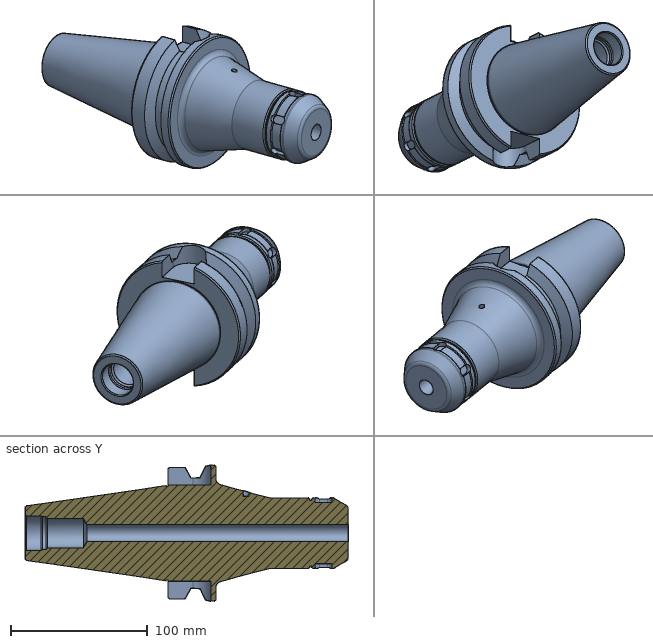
import cadquery as cq
import math

overall_length = 236.8

gauge_x = 101.8
gauge_dia = 69.9
taper_ratio = 7 / 24
taper_end_dia = gauge_dia - gauge_x * taper_ratio
taper_chamfer = 1.0
gauge_land_length = 1.5
neck_dia = 69.0

flange_dia = 100.0
flange_start_x = 104.7
flange_end_x = 140.0
flange_chamfer_length = 1.2
flange_chamfer_depth = 1.0
groove_bottom_dia = 85.0
groove_start_x = 117.2
groove_floor_start_x = 121.5
groove_floor_end_x = 128.0
groove_end_x = 132.1

key_slot_width = 25.8
key_slot_floor_z = 35.3
key_slot_end_x = 136.0

body_dia = 52.0
cone_end_x = 179.3
cone_angle = 15.0
cone_fillet = 4.5
body_end_x = 208.6
edge_chamfer = 1.0

nut_gap_dia = 48.3
nut_start_x = 209.8
nut_band_start_x = 214.5
nut_band_end_x = 223.5
nut_band_dia = 50.7
nut_cone_start_x = 226.0
nut_shoulder_fillet = 1.2
nut_cone_angle = 30.0
nut_nose_fillet = 3.3

spanner_slot_count = 6
spanner_slot_start_x = 212.6
spanner_slot_end_x = 224.7
spanner_slot_width = 6.2
spanner_slot_floor_radius = 22.5

bore_mouth_dia = 26.3
bore_mouth_length = 1.2
pilot_dia = 25.0
pilot_depth = 11.5
pilot_step_length = 1.2
thread_mouth_dia = 24.0
thread_mouth_length = 2.4
thread_dia = 21.3
thread_depth = 42.6
drill_tip_angle = 118.0
through_dia = 12.0

pin_hole_dia = 4.0
pin_hole_x = 162.0
pin_hole_depth = 3.5


def revolve_profile(points):
    """Revolve an (x, radius) outline around the X axis."""
    return cq.Workplane("XY").polyline(points).close().revolve(360, (0, 0, 0), (1, 0, 0))


def make_shank_and_flange():
    end_r = taper_end_dia / 2
    flange_r = flange_dia / 2
    groove_r = groove_bottom_dia / 2
    neck_step = (gauge_dia - neck_dia) / 2
    return revolve_profile([
        (0, 0),
        (0, end_r - taper_chamfer),
        (taper_chamfer, end_r + taper_chamfer * taper_ratio / 2),
        (gauge_x, gauge_dia / 2),
        (gauge_x + gauge_land_length, gauge_dia / 2),
        (gauge_x + gauge_land_length + neck_step, neck_dia / 2),
        (flange_start_x, neck_dia / 2),
        (flange_start_x, flange_r - flange_chamfer_depth),
        (flange_start_x + flange_chamfer_length, flange_r),
        (groove_start_x, flange_r),
        (groove_floor_start_x, groove_r),
        (groove_floor_end_x, groove_r),
        (groove_end_x, flange_r),
        (flange_end_x - flange_chamfer_length, flange_r),
        (flange_end_x, flange_r - flange_chamfer_depth),
        (flange_end_x, 0),
    ])


def make_nose_cone_and_body():
    """Cone with a concave fillet against the flange, then the straight body."""
    angle = math.radians(cone_angle)
    body_r = body_dia / 2
    fillet_centre_x = flange_end_x + cone_fillet
    tangent_x = fillet_centre_x - cone_fillet * math.sin(angle)
    tangent_r = body_r + (cone_end_x - tangent_x) * math.tan(angle)
    fillet_centre_r = tangent_r + cone_fillet * math.cos(angle)
    mid_angle = math.radians((180 + 270 - cone_angle) / 2)
    fillet_middle = (
        fillet_centre_x + cone_fillet * math.cos(mid_angle),
        fillet_centre_r + cone_fillet * math.sin(mid_angle),
    )
    return (
        cq.Workplane("XY")
        .moveTo(flange_end_x, 0)
        .lineTo(flange_end_x, fillet_centre_r)
        .threePointArc(fillet_middle, (tangent_x, tangent_r))
        .lineTo(cone_end_x, body_r)
        .lineTo(body_end_x - edge_chamfer, body_r)
        .lineTo(body_end_x, body_r - edge_chamfer)
        .lineTo(body_end_x, 0)
        .close()
        .revolve(360, (0, 0, 0), (1, 0, 0))
    )


def make_nut():
    nut_r = body_dia / 2
    gap_r = nut_gap_dia / 2
    band_r = nut_band_dia / 2
    band_slope = nut_r - band_r
    nose_r = nut_r - (overall_length - nut_cone_start_x) * math.tan(math.radians(nut_cone_angle))
    nut = revolve_profile([
        (body_end_x, 0),
        (body_end_x, gap_r),
        (nut_start_x, gap_r),
        (nut_start_x, nut_r - edge_chamfer),
        (nut_start_x + edge_chamfer, nut_r),
        (nut_band_start_x, nut_r),
        (nut_band_start_x + band_slope, band_r),
        (nut_band_end_x - band_slope, band_r),
        (nut_band_end_x, nut_r),
        (nut_cone_start_x, nut_r),
        (overall_length, nose_r),
        (overall_length, 0),
    ])
    nut = nut.faces(">X").edges().fillet(nut_nose_fillet)
    shoulder = cq.selectors.BoxSelector(
        (nut_band_end_x + edge_chamfer, -nut_r, -nut_r),
        (nut_cone_start_x + edge_chamfer, nut_r, nut_r),
    )
    return nut.edges("%CIRCLE").edges(shoulder).fillet(nut_shoulder_fillet)


def make_key_slot():
    """Round-ended slot cutter above the key-slot floor on the +Z side."""
    half_width = key_slot_width / 2
    arc_centre_x = key_slot_end_x - half_width
    return (
        cq.Workplane("XY")
        .workplane(offset=key_slot_floor_z)
        .moveTo(flange_start_x, -half_width)
        .lineTo(arc_centre_x, -half_width)
        .threePointArc((key_slot_end_x, 0), (arc_centre_x, half_width))
        .lineTo(flange_start_x, half_width)
        .close()
        .extrude(flange_dia / 2)
    )


def make_spanner_slot():
    """Round-ended pocket cutter, reaching outward from its floor on the +Z side."""
    slot_length = spanner_slot_end_x - spanner_slot_start_x
    return (
        cq.Workplane("XY")
        .workplane(offset=spanner_slot_floor_radius)
        .center(spanner_slot_start_x + slot_length / 2, 0)
        .slot2D(slot_length, spanner_slot_width)
        .extrude(body_dia / 2)
    )


def make_bore():
    pilot_r = pilot_dia / 2
    thread_mouth_x = pilot_depth + pilot_step_length
    thread_r = thread_dia / 2
    thread_mouth_r = thread_mouth_dia / 2
    through_r = through_dia / 2
    tip_length = (thread_r - through_r) / math.tan(math.radians(drill_tip_angle / 2))
    return revolve_profile([
        (0, 0),
        (0, bore_mouth_dia / 2),
        (bore_mouth_length, pilot_r),
        (pilot_depth, pilot_r),
        (thread_mouth_x, thread_mouth_r),
        (thread_mouth_x + thread_mouth_length, thread_mouth_r),
        (thread_mouth_x + thread_mouth_length + thread_mouth_r - thread_r, thread_r),
        (thread_depth, thread_r),
        (thread_depth + tip_length, through_r),
        (overall_length, through_r),
        (overall_length, 0),
    ])


def make_pin_hole():
    """Shallow round hole entering the nose cone from the +Z side."""
    cone_r = body_dia / 2 + (cone_end_x - pin_hole_x) * math.tan(math.radians(cone_angle))
    return (
        cq.Workplane("XY")
        .workplane(offset=cone_r - pin_hole_depth)
        .center(pin_hole_x, 0)
        .circle(pin_hole_dia / 2)
        .extrude(2 * pin_hole_depth)
    )


result = make_shank_and_flange().union(make_nose_cone_and_body()).union(make_nut())

for turn in (0, 180):
    result = result.cut(make_key_slot().rotate((0, 0, 0), (1, 0, 0), turn))

for index in range(spanner_slot_count):
    turn = index * 360 / spanner_slot_count
    result = result.cut(make_spanner_slot().rotate((0, 0, 0), (1, 0, 0), turn))

result = result.cut(make_bore()).cut(make_pin_hole())